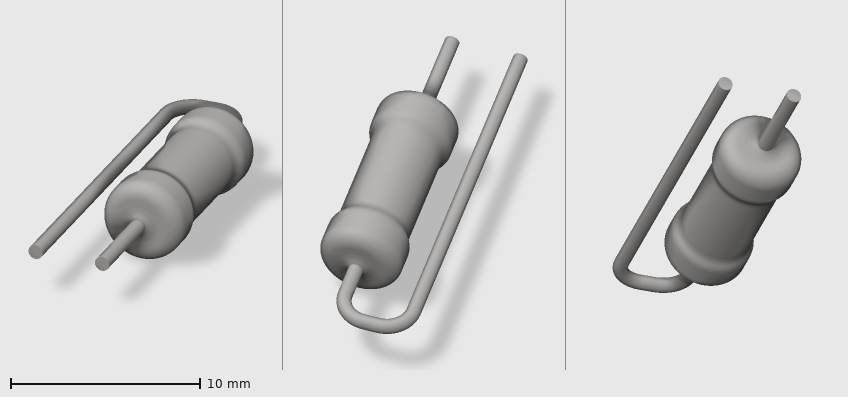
import cadquery as cq
import math

wire_radius = 0.4
lead_pitch = 3.8
bend_radius = 1.49
total_length = 20.1

body_start = 5.19
body_length = 11.03
body_radius = 1.97
cap_radius = 2.27
cap_edge_radius = 0.82
cap_straight_end = 1.89
neck_length = 0.92

collar_radius = 1.0
collar_height = 0.2


def make_lead():
    """Wire swept up the outer leg, around two quarter bends and down the axis."""
    crown_y = total_length - wire_radius
    bend_y = crown_y - bend_radius
    diagonal = bend_radius * math.sqrt(0.5)
    path = (
        cq.Workplane("XY")
        .moveTo(-lead_pitch, 0)
        .lineTo(-lead_pitch, bend_y)
        .threePointArc(
            (-lead_pitch + bend_radius - diagonal, bend_y + diagonal),
            (-lead_pitch + bend_radius, crown_y),
        )
        .lineTo(-bend_radius, crown_y)
        .threePointArc((-bend_radius + diagonal, bend_y + diagonal), (0, bend_y))
        .lineTo(0, 0)
    )
    section = cq.Workplane("XZ", origin=(-lead_pitch, 0, 0)).circle(wire_radius)
    return section.sweep(path)


def make_half_body():
    """One half of the body, from its end face at Y = 0 to mid length, with its collar."""
    diagonal = math.sqrt(0.5)
    neck_mid_y = cap_straight_end + neck_length / 2
    neck_mid_radius = (cap_radius + body_radius) / 2
    neck_end_y = cap_straight_end + neck_length

    collar_width = collar_radius - wire_radius
    collar_arc = (collar_width**2 + collar_height**2) / (2 * collar_height)
    half_angle = math.asin(collar_width / collar_arc) / 2
    collar_mid = (
        collar_radius - collar_arc * math.sin(half_angle),
        -collar_arc * (1 - math.cos(half_angle)),
    )

    profile = (
        cq.Workplane("XY")
        .moveTo(0, -collar_height)
        .lineTo(wire_radius, -collar_height)
        .threePointArc(collar_mid, (collar_radius, 0))
        .lineTo(cap_radius - cap_edge_radius, 0)
        .threePointArc(
            (cap_radius - cap_edge_radius * (1 - diagonal), cap_edge_radius * (1 - diagonal)),
            (cap_radius, cap_edge_radius),
        )
        .lineTo(cap_radius, cap_straight_end)
        .tangentArcPoint((neck_mid_radius, neck_mid_y), relative=False)
        .tangentArcPoint((body_radius, neck_end_y), relative=False)
        .lineTo(body_radius, body_length / 2)
        .lineTo(0, body_length / 2)
        .close()
    )
    return profile.revolve(360, (0, 0, 0), (0, 1, 0))


lower_half = make_half_body().translate((0, body_start, 0))
upper_half = lower_half.mirror("XZ", (0, body_start + body_length / 2, 0))

result = lower_half.union(upper_half).union(make_lead())